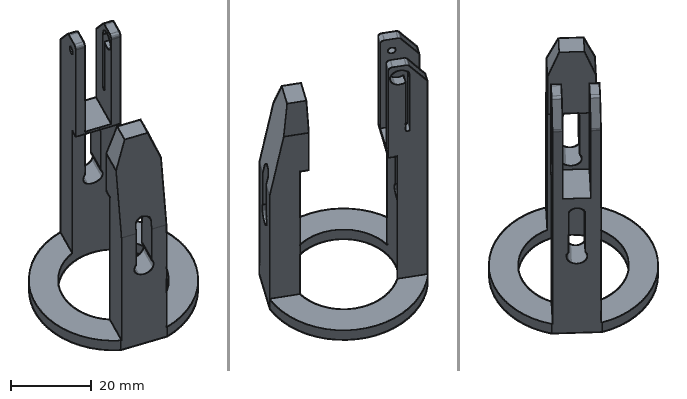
import cadquery as cq

RING_DIAMETER = 41.9
BORE_DIAMETER = 27.3
RING_THICKNESS = 3.5
HALF_LENGTH = 40.0 / 2

ARM_WIDTH = 12.0
HEAD_INNER_X = 10.0
HEAD_BOTTOM_Z = 47.0

FORK_TOP_Z = 79.0
BEVEL_RUN = 5.0
BEVEL_DROP = 6.8
CORNER_RADIUS = 1.0
FORK_GAP = 6.95
FORK_FLOOR_Z = 47.9

PIN_X = -12.95
PIN_Z = FORK_TOP_Z - 4.0
PIN_DIAMETER = 2.0
WIDE_PIN_DIAMETER = 5.0
SLIT_WIDTH = 1.0
SLIT_BOTTOM_Z = 55.45

TIP_TOP_Z = 68.9
TIP_OUTER_X = 14.9
TAPER_START_Z = 40.0
TIP_WIDTH = 6.25
SIDE_BEVEL_START_Z = 60.35

KEYHOLE_DIAMETER = 5.1
KEYHOLE_Z = 27.25
KEYHOLE_SLOT_WIDTH = 4.1
KEYHOLE_TOP_Z = 44.4


def extrude_arm(points):
    """Extrude an XZ outline across the arm width, centred on Y."""
    return cq.Workplane("XZ").polyline(points).close().extrude(ARM_WIDTH / 2, both=True)


def make_ring():
    disc = cq.Workplane("XY").circle(RING_DIAMETER / 2).extrude(RING_THICKNESS)
    flats = cq.Workplane("XY").rect(2 * HALF_LENGTH, RING_DIAMETER).extrude(RING_THICKNESS)
    return disc.intersect(flats)


def y_cylinder(diameter, y_start, length):
    """Cylinder on the pin axis, running toward +Y from y_start."""
    plane = cq.Plane(origin=(PIN_X, y_start, PIN_Z), xDir=(1, 0, 0), normal=(0, 1, 0))
    return cq.Workplane(plane).circle(diameter / 2).extrude(length)


def make_forked_arm():
    arm = extrude_arm([
        (-HALF_LENGTH, 0),
        (-HALF_LENGTH, FORK_TOP_Z - BEVEL_DROP),
        (-HALF_LENGTH + BEVEL_RUN, FORK_TOP_Z),
        (-HEAD_INNER_X, FORK_TOP_Z),
        (-HEAD_INNER_X, 0),
    ])
    top_corners = cq.selectors.BoxSelector(
        (-HALF_LENGTH - 0.8, -ARM_WIDTH, FORK_TOP_Z - BEVEL_DROP - 0.8),
        (-HEAD_INNER_X + 0.8, ARM_WIDTH, FORK_TOP_Z + 0.8),
    )
    arm = arm.edges("|Y").edges(top_corners).fillet(CORNER_RADIUS)

    gap = cq.Workplane("XY").workplane(offset=FORK_FLOOR_Z)
    gap = gap.rect(3 * HALF_LENGTH, FORK_GAP).extrude(FORK_TOP_Z - FORK_FLOOR_Z)
    arm = arm.cut(gap)

    arm = arm.cut(y_cylinder(PIN_DIAMETER, -ARM_WIDTH / 2, ARM_WIDTH / 2))
    arm = arm.cut(y_cylinder(WIDE_PIN_DIAMETER, 0, ARM_WIDTH / 2))

    slit_x = PIN_X - (WIDE_PIN_DIAMETER - SLIT_WIDTH) / 2
    slit_length = PIN_Z - SLIT_BOTTOM_Z
    slit_plane = cq.Plane(
        origin=(slit_x, 0, SLIT_BOTTOM_Z + slit_length / 2), xDir=(1, 0, 0), normal=(0, 1, 0)
    )
    slit = cq.Workplane(slit_plane).slot2D(slit_length, SLIT_WIDTH, 90).extrude(ARM_WIDTH / 2)
    return arm.cut(slit)


def make_tapered_arm():
    arm = extrude_arm([
        (HEAD_INNER_X, 0),
        (HALF_LENGTH, 0),
        (HALF_LENGTH, TAPER_START_Z),
        (TIP_OUTER_X, TIP_TOP_Z),
        (HEAD_INNER_X, TIP_TOP_Z),
    ])
    side_outline = [
        (-ARM_WIDTH / 2, 0),
        (ARM_WIDTH / 2, 0),
        (ARM_WIDTH / 2, SIDE_BEVEL_START_Z),
        (TIP_WIDTH / 2, TIP_TOP_Z),
        (-TIP_WIDTH / 2, TIP_TOP_Z),
        (-ARM_WIDTH / 2, SIDE_BEVEL_START_Z),
    ]
    envelope = cq.Workplane("YZ").polyline(side_outline).close().extrude(HALF_LENGTH)
    return arm.intersect(envelope)


def make_keyhole():
    slot_end_z = KEYHOLE_TOP_Z - KEYHOLE_SLOT_WIDTH / 2
    side = cq.Workplane("YZ")
    hole = side.center(0, KEYHOLE_Z).circle(KEYHOLE_DIAMETER / 2)
    hole = hole.extrude(HALF_LENGTH, both=True)
    slot = side.center(0, (KEYHOLE_Z + slot_end_z) / 2)
    slot = slot.rect(KEYHOLE_SLOT_WIDTH, slot_end_z - KEYHOLE_Z).extrude(HALF_LENGTH, both=True)
    slot_end = side.center(0, slot_end_z).circle(KEYHOLE_SLOT_WIDTH / 2)
    slot_end = slot_end.extrude(HALF_LENGTH, both=True)
    return hole.union(slot).union(slot_end)


bore = cq.Workplane("XY").circle(BORE_DIAMETER / 2).extrude(HEAD_BOTTOM_Z)

result = make_ring().union(make_forked_arm()).union(make_tapered_arm())
result = result.cut(bore).cut(make_keyhole())